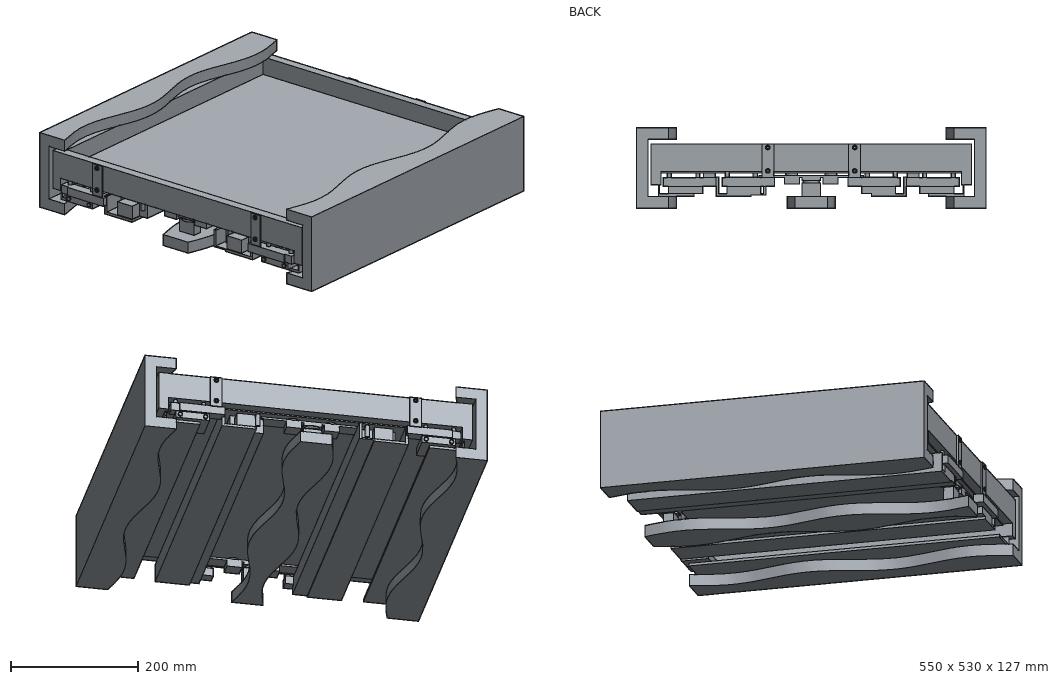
import cadquery as cq
import math

WIDTH = 550.0
LENGTH = 530.0
HEIGHT = 127.0
FRONT = -LENGTH / 2
WALL = 18.5
WAVE_PERIOD = LENGTH / 2
WAVE_HEIGHT = 12.5
WAVE_STEPS = 32
FLANGE_REACH = 50.5
SLAT_HALF_WIDTH = 25.5

TRAY_WIDTH = 504.0
TRAY_INSET = 4.5
TRAY_FRONT = FRONT + TRAY_INSET
TRAY_TOP = 101.0
TRAY_WALL = 16.0
SIDE_BOTTOM = 37.0
END_BOTTOM = 58.0
FLOOR_BOTTOM = 55.5
FLOOR_TOP = 71.5

PLATE_TOP = 23.0
BAR_BOTTOM = 34.5
BAR_TOP = 48.5
BOX_TOP = 49.5
SHEET = 4.5

BAR_DEPTH = 16.5
FRONT_BAR = (146.5, 219.0)
FRONT_BAR_END = 232.5
END_SETBACK = 2.0
REAR_BAR = (58.0, 140.0)
STRAP_WIDTH = 18.5
STRAP_THICKNESS = 3.0
FRONT_STRAP_X = 160.0
REAR_STRAP_X = 68.0
BOLT_LEVELS = (59.0, 95.5)
BOLT_HEAD = 7.0
BOLT_SOCKET = 4.0
FRONT_PINS = (178.0, 223.5)
REAR_PINS = (132.0,)
PIN = 6.5

RUNNER = (184.0, 240.5)
RUNNER_INSET = 11.0
RUNNER_WALL = 2.0
BLOCK = (170.5, 224.5)
BLOCK_INSET = 3.5
BLOCK_DEPTH = 44.0
BLOCK_PINS = (177.0, 218.0)
BLOCK_PIN_LEVEL = 28.5
BLOCK_PIN_REACH = 2.0

CHANNEL_PLATE = (94.5, 149.5)
CHANNEL_INNER = 71.0
LIP_SHEET = 2.0
CHANNEL_INSET = 7.5
BOX = (79.0, 132.5)
BOX_INSET = 27.5
NOSE = (95.5, 125.5)
NOSE_TOP = 45.0
NOSE_SETBACK = 2.0
POST_PIN_X = 88.0
POST_PIN = 7.0
POST_PIN_BOTTOM = 35.0

CROSSBAR_HALF = 82.5
CROSSBAR_TOP = 51.5
CROSSBAR_DEPTH = 22.0
CROSSBAR_INSET = 25.0
HUB_BOTTOM = 44.0
CLAMP = (18.0, 42.5)
CLAMP_BOTTOM = 38.0
PIVOT_X = 31.0
PIVOT = 18.5
POST_WIDTH = 29.5
POST_DEPTH = 16.5
POST_TOP = 40.0
COLLAR = 25.5


def block(x_range, y_range, z_range):
    """Box spanning the given ranges."""
    size = [high - low for low, high in (x_range, y_range, z_range)]
    corner = cq.Vector(x_range[0], y_range[0], z_range[0])
    return cq.Workplane("XY").add(cq.Solid.makeBox(*size, corner))


def pin(x, y, diameter, z_range):
    """Upright cylinder."""
    height = z_range[1] - z_range[0]
    return cq.Workplane("XY", origin=(x, y, z_range[0])).circle(diameter / 2).extrude(height)


def end_pin(x, y, z, diameter, length):
    """Cylinder pointing toward -Y, starting at y."""
    return cq.Workplane("XZ", origin=(x, y, z)).circle(diameter / 2).extrude(length)


def fuse(parts):
    """Join the pieces of one body."""
    joined = parts[0]
    for part in parts[1:]:
        joined = joined.union(part)
    return joined


def mirror_x(part):
    return part.mirror("YZ")


def mirror_y(part):
    return part.mirror("XZ")


def wave_points(mean):
    """Sine edge running from the front end to the rear end."""
    points = []
    for step in range(WAVE_STEPS + 1):
        along = LENGTH * step / WAVE_STEPS
        offset = WAVE_HEIGHT * math.sin(2 * math.pi * along / WAVE_PERIOD)
        points.append((mean - offset, FRONT + along))
    return points


def make_tray():
    half = TRAY_WIDTH / 2
    inner = half - TRAY_WALL
    ends = (TRAY_FRONT, -TRAY_FRONT)
    inner_ends = (TRAY_FRONT + TRAY_WALL, -TRAY_FRONT - TRAY_WALL)
    body = block((-half, half), ends, (SIDE_BOTTOM, TRAY_TOP))
    under = block((-inner, inner), ends, (SIDE_BOTTOM, END_BOTTOM))
    well = block((-inner, inner), inner_ends, (FLOOR_TOP, TRAY_TOP))
    floor = block((-inner, inner), inner_ends, (FLOOR_BOTTOM, FLOOR_TOP))
    return body.cut(under).cut(well).union(floor)


def make_left_rail():
    """C section with wavy flange edges."""
    left = -WIDTH / 2
    edge = wave_points(left + FLANGE_REACH)
    outline = (
        cq.Workplane("XY")
        .moveTo(left, FRONT)
        .lineTo(*edge[0])
        .spline(edge[1:], includeCurrent=True)
        .lineTo(left, -FRONT)
        .close()
    )
    channel = block((left + WALL, 0), (FRONT, -FRONT), (WALL, HEIGHT - WALL))
    return outline.extrude(HEIGHT).cut(channel)


def make_slat():
    """Flat centre foot with two wavy sides."""
    left = wave_points(-SLAT_HALF_WIDTH)
    right = [(-x, y) for x, y in reversed(left)]
    return (
        cq.Workplane("XY")
        .moveTo(*left[0])
        .spline(left[1:], includeCurrent=True)
        .lineTo(*right[0])
        .spline(right[1:], includeCurrent=True)
        .close()
        .extrude(WALL)
    )


def make_end_bar(bar, strap_x, pins):
    """Bar at the front end, with its bolted strap and the pins up to the tray end wall."""
    strap_y = (TRAY_FRONT - STRAP_THICKNESS, TRAY_FRONT)
    strap_sides = (strap_x - STRAP_WIDTH / 2, strap_x + STRAP_WIDTH / 2)
    parts = [
        block(bar, (FRONT, FRONT + BAR_DEPTH), (BAR_BOTTOM, BAR_TOP)),
        block(strap_sides, strap_y, (BAR_BOTTOM, TRAY_TOP)),
    ]
    head_height = TRAY_INSET - STRAP_THICKNESS
    for level in BOLT_LEVELS:
        head = end_pin(strap_x, strap_y[0], level, BOLT_HEAD, head_height)
        parts.append(head.cut(end_pin(strap_x, strap_y[0], level, BOLT_SOCKET, head_height)))
    pin_y = TRAY_FRONT + TRAY_WALL / 2
    for x in pins:
        parts.append(pin(x, pin_y, PIN, (BAR_TOP, END_BOTTOM)))
    return fuse(parts)


def make_bar_end():
    """Set-back outer end of the front bar."""
    sides = (FRONT + END_SETBACK, FRONT + BAR_DEPTH)
    return block((FRONT_BAR[1], FRONT_BAR_END), sides, (BAR_BOTTOM, BAR_TOP))


def make_runner():
    """Plate on the rail flange with a thin wall up to the tray side."""
    sides = (FRONT + RUNNER_INSET, -FRONT - RUNNER_INSET)
    outer = RUNNER[1]
    plate = block(RUNNER, sides, (WALL, PLATE_TOP))
    wall = block((outer - RUNNER_WALL, outer), sides, (PLATE_TOP, SIDE_BOTTOM))
    return plate.union(wall)


def make_runner_block():
    """Block joining the front bar to the runner, with two pin heads on its front."""
    face = FRONT + BLOCK_INSET
    parts = [block(BLOCK, (face, face + BLOCK_DEPTH), (PLATE_TOP, BAR_BOTTOM))]
    for x in BLOCK_PINS:
        parts.append(end_pin(x, face, BLOCK_PIN_LEVEL, PIN, BLOCK_PIN_REACH))
    return fuse(parts)


def make_inner_angle():
    """L-shaped plate that carries the inner box and meets the end of the front bar."""
    sides = (FRONT + CHANNEL_INSET, -FRONT - CHANNEL_INSET)
    outer = CHANNEL_PLATE[1]
    plate = block(CHANNEL_PLATE, sides, (WALL, PLATE_TOP))
    wall = block((outer - SHEET, outer), sides, (PLATE_TOP, BOX_TOP))
    return plate.union(wall)


def make_inner_box():
    """Long box with a narrower front end and an upright pin."""
    face = FRONT + BOX_INSET
    nose_face = FRONT + CHANNEL_INSET + NOSE_SETBACK
    box = block(BOX, (face, -FRONT - CHANNEL_INSET), (PLATE_TOP, BOX_TOP))
    nose = block(NOSE, (nose_face, face), (PLATE_TOP, NOSE_TOP))
    post = pin(POST_PIN_X, face, POST_PIN, (POST_PIN_BOTTOM, FLOOR_BOTTOM))
    return box.union(nose).union(post)


def make_channel_lip():
    """Plate and wall that close the +X inner angle into a channel."""
    sides = (FRONT + CHANNEL_INSET, -FRONT - CHANNEL_INSET)
    plate = block((CHANNEL_INNER, CHANNEL_PLATE[0]), sides, (PLATE_TOP - LIP_SHEET, PLATE_TOP))
    wall = block((CHANNEL_INNER, CHANNEL_INNER + SHEET), sides, (PLATE_TOP, BOX_TOP))
    return plate.union(wall)


def make_crossbar():
    """Front crossbar with its clamps, pivots and the post standing on the slat."""
    near = FRONT + CROSSBAR_INSET
    far = near + CROSSBAR_DEPTH
    middle = (near + far) / 2
    post_half = POST_WIDTH / 2
    post_sides = (middle - POST_DEPTH / 2, middle + POST_DEPTH / 2)
    parts = [
        block((-CROSSBAR_HALF, CROSSBAR_HALF), (near, far), (BAR_TOP, CROSSBAR_TOP)),
        block((-post_half, post_half), (near, far), (HUB_BOTTOM, BAR_TOP)),
        pin(0, middle, COLLAR, (POST_TOP, HUB_BOTTOM)),
        block((-post_half, post_half), post_sides, (WALL, POST_TOP)),
    ]
    clamp = block(CLAMP, (near, far), (CLAMP_BOTTOM, BAR_TOP))
    pivot = pin(PIVOT_X, middle, PIVOT, (CROSSBAR_TOP, FLOOR_BOTTOM))
    for half in (clamp, pivot):
        parts += [half, mirror_x(half)]
    return fuse(parts)


def make_frame():
    rail = make_left_rail()
    crossbar = make_crossbar()
    front_bar = make_end_bar(FRONT_BAR, FRONT_STRAP_X, FRONT_PINS)
    rear_bar = mirror_y(make_end_bar(REAR_BAR, REAR_STRAP_X, REAR_PINS))
    paired = [
        rail,
        make_runner(),
        make_runner_block(),
        make_inner_angle(),
        make_inner_box(),
        front_bar,
        make_bar_end(),
        rear_bar,
    ]
    parts = [make_slat(), crossbar, mirror_y(crossbar), make_channel_lip()]
    for part in paired:
        parts += [part, mirror_x(part)]
    return fuse(parts)


tray = make_tray()
frame = make_frame()
result = cq.Compound.makeCompound([tray.solids().val(), frame.solids().val()])